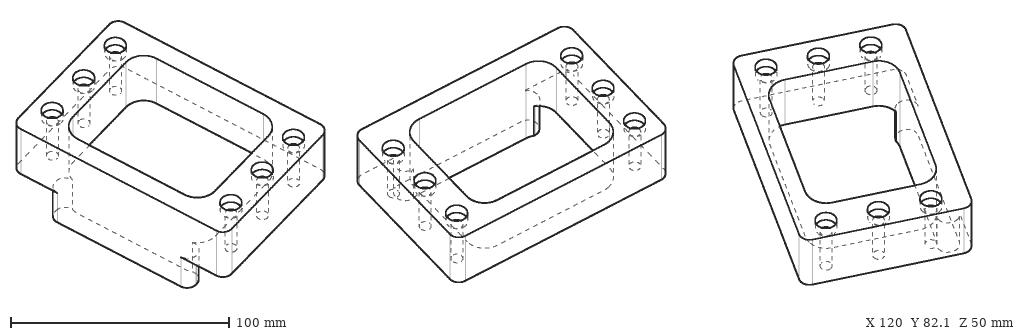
import cadquery as cq

BODY_LENGTH = 119.98
BODY_WIDTH = 82.06
OVERALL_HEIGHT = 50.02

TONGUE_LEFT = 20.5
TONGUE_RIGHT = 99.9
TONGUE_THICKNESS = 10.75
TONGUE_DROP = 19.75
TONGUE_RADIUS = 5.0

BODY_HEIGHT = OVERALL_HEIGHT - TONGUE_DROP
CORNER_RADIUS = 5.0

WINDOW_WALL_X = 20.0
WINDOW_WALL_Y = 10.0
WINDOW_LENGTH = BODY_LENGTH - 2 * WINDOW_WALL_X
WINDOW_WIDTH = BODY_WIDTH - 2 * WINDOW_WALL_Y
WINDOW_RADIUS = 10.0

HOLE_DIAMETER = 5.5
HEAD_DIAMETER = 10.0
HEAD_DEPTH = 5.0
CONE_DEPTH = (HEAD_DIAMETER - HOLE_DIAMETER) / 2
HOLE_SPACING = 25.0
LEFT_ROW_INSET = 9.9
LEFT_ROW_Y = 42.85
LEFT_ROW_LEAN = 0.0
RIGHT_ROW_INSET = 9.95
RIGHT_ROW_Y = 43.15
RIGHT_ROW_LEAN = -0.15


def rounded_block(x_min, x_max, y_min, y_max, z_min, z_max, radius):
    """Upright block with its four vertical edges rounded."""
    block = cq.Workplane("XY").box(x_max - x_min, y_max - y_min, z_max - z_min, centered=False)
    return block.edges("|Z").fillet(radius).translate((x_min, y_min, z_min))


def screw_hole(x, y):
    """Through hole under a cone and a straight head recess, revolved as one cutter."""
    cone_top = BODY_HEIGHT - HEAD_DEPTH
    cone_bottom = cone_top - CONE_DEPTH
    profile = (
        cq.Workplane("XZ")
        .moveTo(0, 0)
        .lineTo(HOLE_DIAMETER / 2, 0)
        .lineTo(HOLE_DIAMETER / 2, cone_bottom)
        .lineTo(HEAD_DIAMETER / 2, cone_top)
        .lineTo(HEAD_DIAMETER / 2, BODY_HEIGHT)
        .lineTo(0, BODY_HEIGHT)
        .close()
    )
    return profile.revolve(360, (0, 0, 0), (0, 1, 0)).translate((x, y, 0))


body = rounded_block(0, BODY_LENGTH, 0, BODY_WIDTH, 0, BODY_HEIGHT, CORNER_RADIUS)
tongue = rounded_block(
    TONGUE_LEFT, TONGUE_RIGHT, 0, TONGUE_THICKNESS, -TONGUE_DROP, 0, TONGUE_RADIUS
)
window = rounded_block(
    WINDOW_WALL_X,
    WINDOW_WALL_X + WINDOW_LENGTH,
    WINDOW_WALL_Y,
    WINDOW_WALL_Y + WINDOW_WIDTH,
    -TONGUE_DROP,
    BODY_HEIGHT,
    WINDOW_RADIUS,
)
result = body.union(tongue).cut(window)

hole_rows = (
    (LEFT_ROW_INSET, LEFT_ROW_Y, LEFT_ROW_LEAN),
    (BODY_LENGTH - RIGHT_ROW_INSET, RIGHT_ROW_Y, RIGHT_ROW_LEAN),
)
for row_x, row_y, row_lean in hole_rows:
    for step in (-1, 0, 1):
        result = result.cut(screw_hole(row_x + step * row_lean, row_y + step * HOLE_SPACING))